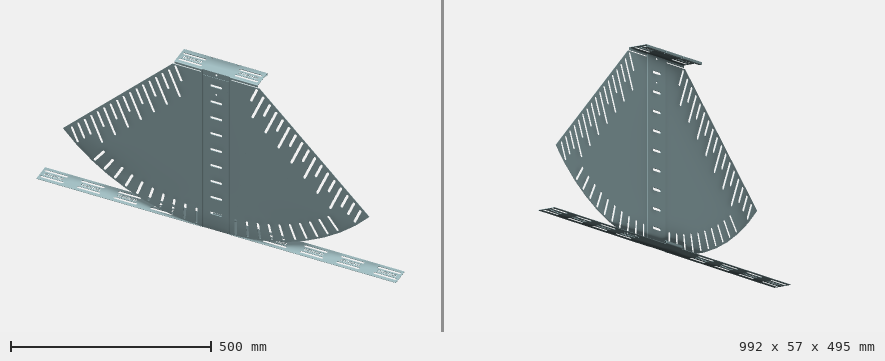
import cadquery as cq
import math

RAIL_LENGTH = 992.0
DEPTH = 57.0
HEIGHT = 495.0
SHEET = 1.0
BEND_RADIUS = 2.0
CUT_REACH = 4.0

FRONT_Y = -DEPTH / 2
BACK_Y = DEPTH / 2
BOTTOM_Z = -HEIGHT / 2
TOP_Z = HEIGHT / 2

LIP_HEIGHT = 7.0
LIP_RETURN = 8.0
LIP_ROOT_Y = 23.0
RELIEF_WIDTH = 3.0

STRIP_WIDTH = 68.0
STRIP_TOP_Z = 231.0

CHANNEL_WIDTH = 76.0
CHANNEL_DEPTH = SHEET
CHANNEL_FLOOR_Y = FRONT_Y + CHANNEL_DEPTH

FAN_TOP_Z = 238.0
FAN_TOP_WIDTH = 240.0
FAN_CORNER_X = 423.0
FAN_ARC_CENTER_X = 28.0
FAN_ARC_CENTER_Z = 269.0
FAN_ARC_RADIUS = 515.0
TAB_WIDTH = 83.0
TOP_FLANGE_WIDTH = 230.0
TOP_WEB_HEIGHT = 7.0

SLOT_WIDTH = 7.0
SHORT_SLOT = 48.0
LONG_SLOT = 83.0
EDGE_SLOT_COUNT = 17
LONG_SLOT_INDICES = range(1, 14, 2)
EDGE_SLOT_STEP = 18.0
EDGE_SLOT_TILT = 22.5
FIRST_SLOT_X = 112.0
FIRST_SLOT_Z = 231.0

ARC_SLOT_COUNT = 10
ARC_SLOT_RADIUS = 486.0
ARC_SLOT_START = 3.1
ARC_SLOT_STEP = 3.8
ARC_SLOT_TILT_STEP = 4.1

CENTER_SLOT_LENGTH = 34.0
CENTER_SLOT_COUNT = 9
CENTER_SLOT_TOP_Z = 204.0
CENTER_SLOT_BOTTOM_Z = -195.0
CENTER_SLOT_PITCH = (CENTER_SLOT_TOP_Z - CENTER_SLOT_BOTTOM_Z) / (CENTER_SLOT_COUNT - 1)
SCREW_HOLE = 6.0
SCREW_HOLE_Z = 180.0
TOP_HOLE_Z = 240.0

GROUP_PITCH = 101.0
RAIL_GROUPS_PER_SIDE = 4
RAIL_FIRST_GROUP_X = 156.0
TOP_GROUP_X = 77.0
GROUP_Y = -2.2
GROUP_SLOT_LENGTH = 63.0
GROUP_SLOT_OFFSET = 13.0
PERFORATION_SIZE = 4.0
PERFORATION_PITCH = 6.0
PERFORATION_COUNT = 9
PERFORATION_ROW_OFFSET = 2.3


def block(x_min, x_max, y_min, y_max, z_min, z_max):
    """Axis-aligned box between the given limits."""
    size = (x_max - x_min, y_max - y_min, z_max - z_min)
    return cq.Workplane("XY").box(*size, centered=False).translate((x_min, y_min, z_min))


def wall_slot(x, z, length, tilt):
    """Cutter for a round-ended slot in the upright sheets; tilt is measured from Z towards +X."""
    cutter = cq.Workplane("XZ").slot2D(length, SLOT_WIDTH, 90 - tilt).extrude(CUT_REACH, both=True)
    return cutter.translate((x, FRONT_Y, z))


def wall_hole(z):
    """Cutter for a screw hole on the centre line of the upright sheets."""
    return cq.Workplane("XZ").circle(SCREW_HOLE / 2).extrude(CUT_REACH, both=True).translate((0, FRONT_Y, z))


def center_slots():
    """Cutters for the column of level slots that runs through strip and fan."""
    return [
        wall_slot(0, CENTER_SLOT_TOP_Z - i * CENTER_SLOT_PITCH, CENTER_SLOT_LENGTH, 90)
        for i in range(CENTER_SLOT_COUNT)
    ]


def cut_all(body, cutters):
    """Remove every cutter from the body in one operation."""
    solids = [solid for cutter in cutters for solid in cutter.vals()]
    return body.cut(cq.Workplane("XY").newObject([cq.Compound.makeCompound(solids)]))


def perforation_group(x, z):
    """Cutters for two long slots with two rows of small square holes between them."""
    cutters = []
    for side in (-1, 1):
        slot = cq.Workplane("XY").slot2D(GROUP_SLOT_LENGTH, SLOT_WIDTH).extrude(CUT_REACH, both=True)
        cutters.append(slot.translate((x, GROUP_Y + side * GROUP_SLOT_OFFSET, z)))
    squares = (
        cq.Workplane("XY")
        .rarray(PERFORATION_PITCH, 2 * PERFORATION_ROW_OFFSET, PERFORATION_COUNT, 2)
        .rect(PERFORATION_SIZE, PERFORATION_SIZE)
        .extrude(CUT_REACH, both=True)
    )
    cutters.append(squares.translate((x, GROUP_Y, z)))
    return cutters


def bend(body, outer_point, inner_point):
    """Round the outer and inner edge of a folded corner about one common axis."""
    body = body.edges(cq.selectors.NearestToPointSelector(outer_point)).fillet(BEND_RADIUS)
    return body.edges(cq.selectors.NearestToPointSelector(inner_point)).fillet(BEND_RADIUS - SHEET)


def front_angle(half_width, web_bottom_z):
    """Flange at TOP_Z, centred on X = 0, with a web folded down along its front edge."""
    flange = block(-half_width, half_width, FRONT_Y, LIP_ROOT_Y, TOP_Z - SHEET, TOP_Z)
    web = block(-half_width, half_width, FRONT_Y, FRONT_Y + SHEET, web_bottom_z, TOP_Z)
    return bend(flange.union(web), (0, FRONT_Y, TOP_Z), (0, FRONT_Y + SHEET, TOP_Z - SHEET))


def top_lip(x_min, x_max):
    """Hooked lip that hangs from the rear edge of a flange at TOP_Z."""
    hook = (
        cq.Workplane("YZ")
        .moveTo(LIP_ROOT_Y, TOP_Z)
        .lineTo(BACK_Y, TOP_Z)
        .lineTo(BACK_Y, TOP_Z - LIP_HEIGHT)
        .lineTo(BACK_Y - LIP_RETURN, TOP_Z - LIP_HEIGHT)
        .lineTo(BACK_Y - LIP_RETURN, TOP_Z - LIP_HEIGHT + SHEET)
        .lineTo(BACK_Y - SHEET, TOP_Z - LIP_HEIGHT + SHEET)
        .lineTo(BACK_Y - SHEET, TOP_Z - SHEET)
        .lineTo(LIP_ROOT_Y, TOP_Z - SHEET)
        .close()
        .extrude(x_max - x_min)
        .translate((x_min, 0, 0))
    )
    middle_x = (x_min + x_max) / 2
    return bend(hook, (middle_x, BACK_Y, TOP_Z), (middle_x, BACK_Y - SHEET, TOP_Z - SHEET))


def make_rail():
    """Long perforated rail with the strip that stands on it."""
    half = STRIP_WIDTH / 2
    rail_end = RAIL_LENGTH / 2
    body = front_angle(half, -STRIP_TOP_Z).union(top_lip(-half, half)).mirror("XY")
    for x_min, x_max in ((-rail_end, -half), (half, rail_end)):
        body = body.union(block(x_min, x_max, FRONT_Y, LIP_ROOT_Y, BOTTOM_Z, BOTTOM_Z + SHEET))
    cutters = center_slots() + [wall_hole(SCREW_HOLE_Z)]
    for i in range(RAIL_GROUPS_PER_SIDE):
        x = RAIL_FIRST_GROUP_X + i * GROUP_PITCH
        cutters += perforation_group(x, BOTTOM_Z) + perforation_group(-x, BOTTOM_Z)
    return cut_all(body, cutters)


def fan_sheet():
    """Flat fan: level top edge, 45 degree sides and two arcs that meet the bottom edge."""
    top_half = FAN_TOP_WIDTH / 2
    corner_z = FAN_TOP_Z - (FAN_CORNER_X - top_half)
    bottom_z = FAN_ARC_CENTER_Z - FAN_ARC_RADIUS
    corner_angle = math.atan2(FAN_CORNER_X - FAN_ARC_CENTER_X, FAN_ARC_CENTER_Z - corner_z)
    mid_x = FAN_ARC_CENTER_X + FAN_ARC_RADIUS * math.sin(corner_angle / 2)
    mid_z = FAN_ARC_CENTER_Z - FAN_ARC_RADIUS * math.cos(corner_angle / 2)
    outline = (
        cq.Workplane("XZ")
        .moveTo(-top_half, FAN_TOP_Z)
        .lineTo(top_half, FAN_TOP_Z)
        .lineTo(FAN_CORNER_X, corner_z)
        .threePointArc((mid_x, mid_z), (FAN_ARC_CENTER_X, bottom_z))
        .lineTo(-FAN_ARC_CENTER_X, bottom_z)
        .threePointArc((-mid_x, mid_z), (-FAN_CORNER_X, corner_z))
        .close()
    )
    return outline.extrude(-SHEET).translate((0, FRONT_Y, 0))


def channel_prism(front_y, back_y, front_width, z_min, z_max):
    """Upright prism that narrows at 45 degrees from front to back."""
    front_half = front_width / 2
    back_half = front_half - (back_y - front_y)
    return (
        cq.Workplane("XY")
        .polyline([(-front_half, front_y), (front_half, front_y), (back_half, back_y), (-back_half, back_y)])
        .close()
        .extrude(z_max - z_min)
        .translate((0, 0, z_min))
    )


def fan_slots():
    """Cutters for the slots along the sloping sides and along the arcs."""
    cutters = []
    for i in range(EDGE_SLOT_COUNT):
        length = LONG_SLOT if i in LONG_SLOT_INDICES else SHORT_SLOT
        reach = (length - SLOT_WIDTH) / 2
        x = FIRST_SLOT_X + i * EDGE_SLOT_STEP - reach * math.sin(math.radians(EDGE_SLOT_TILT))
        z = FIRST_SLOT_Z - i * EDGE_SLOT_STEP - reach * math.cos(math.radians(EDGE_SLOT_TILT))
        cutters += [wall_slot(x, z, length, EDGE_SLOT_TILT), wall_slot(-x, z, length, -EDGE_SLOT_TILT)]
    for i in range(ARC_SLOT_COUNT):
        angle = math.radians(ARC_SLOT_START + i * ARC_SLOT_STEP)
        tilt = i * ARC_SLOT_TILT_STEP
        x = FAN_ARC_CENTER_X + ARC_SLOT_RADIUS * math.sin(angle)
        z = FAN_ARC_CENTER_Z - ARC_SLOT_RADIUS * math.cos(angle)
        cutters += [wall_slot(x, z, SHORT_SLOT, -tilt), wall_slot(-x, z, SHORT_SLOT, tilt)]
    return cutters


def top_flange():
    """Flange over the fan with a low front web and a lip split by two bend reliefs."""
    half = TOP_FLANGE_WIDTH / 2
    relief_inner = STRIP_WIDTH / 2
    relief_outer = relief_inner + RELIEF_WIDTH
    flange = front_angle(half, TOP_Z - TOP_WEB_HEIGHT)
    for x_min, x_max in ((-half, -relief_outer), (-relief_inner, relief_inner), (relief_outer, half)):
        flange = flange.union(top_lip(x_min, x_max))
    return flange


def make_fan():
    """Slotted fan with the channel for the strip and the short flange on top."""
    tab_half = TAB_WIDTH / 2
    tab_bottom_z = BOTTOM_Z + BEND_RADIUS
    tab = block(-tab_half, tab_half, FRONT_Y, FRONT_Y + SHEET, tab_bottom_z, TOP_Z - BEND_RADIUS)
    channel = channel_prism(FRONT_Y, CHANNEL_FLOOR_Y, CHANNEL_WIDTH, BOTTOM_Z, TOP_Z)
    floor = channel_prism(CHANNEL_FLOOR_Y, CHANNEL_FLOOR_Y + SHEET, CHANNEL_WIDTH, tab_bottom_z, TOP_Z)
    body = fan_sheet().union(tab).union(floor).union(top_flange()).cut(channel)
    cutters = fan_slots() + center_slots() + [wall_hole(SCREW_HOLE_Z), wall_hole(TOP_HOLE_Z)]
    for x in (-TOP_GROUP_X, TOP_GROUP_X):
        cutters += perforation_group(x, TOP_Z)
    return cut_all(body, cutters)


rail = make_rail()
fan = make_fan()
result = cq.Compound.makeCompound([rail.solids().val(), fan.solids().val()])